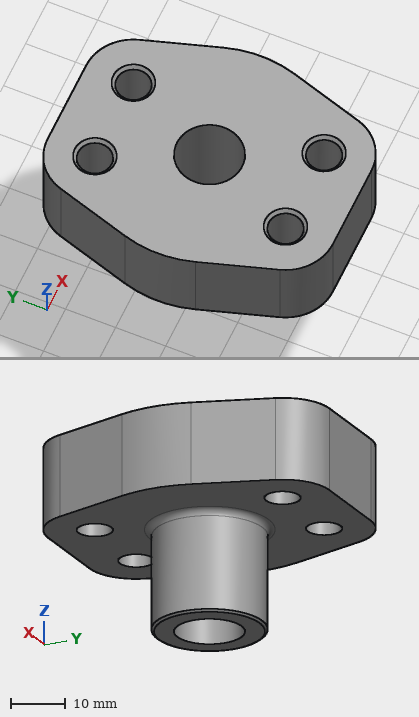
import cadquery as cq
import math

plate_width = 47.0
plate_length = 57.0
plate_thickness = 16.0
side_radius = plate_width / 2

hole_pitch_x = 17.5
hole_pitch_y = 38.1
hole_diameter = 6.65
countersink_diameter = 8.0
countersink_angle = 90.0

spigot_diameter = 21.3
spigot_length = 20.0
tip_chamfer_radial = 0.5
tip_chamfer_height = 0.4
neck_fillet = 1.3
bore_diameter = 13.0

corner_x = hole_pitch_x / 2
corner_y = hole_pitch_y / 2
corner_radius = plate_length / 2 - corner_y


def flank_normal_angle():
    """Angle from +X of the normal to the flank that touches a side arc and a corner arc."""
    centre_distance = math.hypot(corner_x, corner_y)
    centre_angle = math.atan2(corner_y, corner_x)
    return centre_angle - math.acos((side_radius - corner_radius) / centre_distance)


def make_plate():
    """Flange with side arcs about the bore axis, tangent flanks, round corners and flat ends."""
    flank = flank_normal_angle()
    corner_middle = (flank + math.pi / 2) / 2

    side_end_x = side_radius * math.cos(flank)
    side_end_y = side_radius * math.sin(flank)
    corner_start_x = corner_x + corner_radius * math.cos(flank)
    corner_start_y = corner_y + corner_radius * math.sin(flank)
    corner_middle_x = corner_x + corner_radius * math.cos(corner_middle)
    corner_middle_y = corner_y + corner_radius * math.sin(corner_middle)
    end_y = plate_length / 2

    outline = (
        cq.Workplane("XY")
        .moveTo(side_end_x, -side_end_y)
        .threePointArc((side_radius, 0), (side_end_x, side_end_y))
        .lineTo(corner_start_x, corner_start_y)
        .threePointArc((corner_middle_x, corner_middle_y), (corner_x, end_y))
        .lineTo(-corner_x, end_y)
        .threePointArc((-corner_middle_x, corner_middle_y), (-corner_start_x, corner_start_y))
        .lineTo(-side_end_x, side_end_y)
        .threePointArc((-side_radius, 0), (-side_end_x, -side_end_y))
        .lineTo(-corner_start_x, -corner_start_y)
        .threePointArc((-corner_middle_x, -corner_middle_y), (-corner_x, -end_y))
        .lineTo(corner_x, -end_y)
        .threePointArc((corner_middle_x, -corner_middle_y), (corner_start_x, -corner_start_y))
        .close()
    )
    return outline.extrude(plate_thickness)


def make_spigot():
    """Solid of revolution hanging below Z = 0: chamfered tip, and a fillet flaring into the plate."""
    radius = spigot_diameter / 2
    fillet_inset = neck_fillet * (1 - math.sqrt(0.5))
    profile = (
        cq.Workplane("XZ")
        .moveTo(0, -spigot_length)
        .lineTo(radius - tip_chamfer_radial, -spigot_length)
        .lineTo(radius, -spigot_length + tip_chamfer_height)
        .lineTo(radius, -neck_fillet)
        .threePointArc((radius + fillet_inset, -fillet_inset), (radius + neck_fillet, 0))
        .lineTo(0, 0)
        .close()
    )
    return profile.revolve(360, (0, 0, 0), (0, 1, 0))


def add_bolt_holes(body):
    """Four countersunk holes through the plate."""
    return (
        body.faces(">Z")
        .workplane(origin=(0, 0, 0))
        .rarray(hole_pitch_x, hole_pitch_y, 2, 2)
        .cskHole(hole_diameter, countersink_diameter, countersink_angle)
    )


def add_bore(body):
    """Central bore through plate and spigot."""
    return body.faces(">Z").workplane(origin=(0, 0, 0)).hole(bore_diameter)


result = add_bore(add_bolt_holes(make_plate().union(make_spigot())))